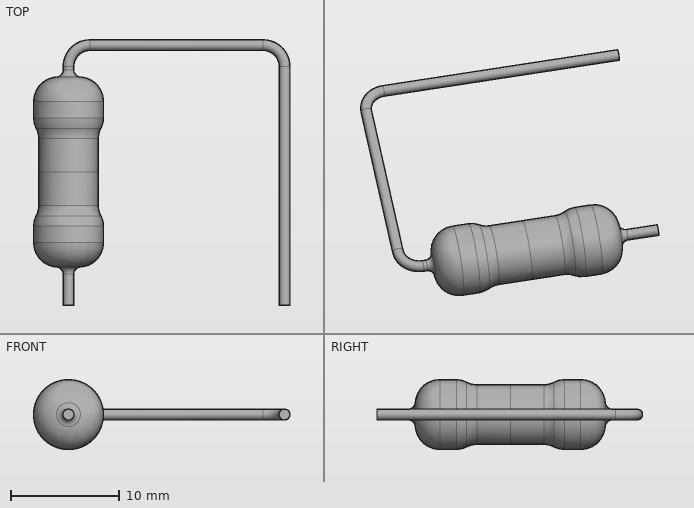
import cadquery as cq
import math

total_length = 24.6
lead_diameter = 1.0
lead_pitch = 20.0
bend_radius = 2.0

body_center = 12.35
cap_diameter = 6.5
neck_diameter = 5.54
cap_inner = 5.0
cap_outer = 6.52
dome_radius = 2.3
shoulder_radius = 2.0
lead_fillet = 0.65

lead_radius = lead_diameter / 2
cap_radius = cap_diameter / 2
neck_radius = neck_diameter / 2

shoulder_drop = (cap_radius - neck_radius) / 2
shoulder_run = math.sqrt(2 * shoulder_radius * shoulder_drop - shoulder_drop**2)
shoulder_mid = (cap_radius - shoulder_drop, cap_inner - shoulder_run)
neck_end = (neck_radius, cap_inner - 2 * shoulder_run)

dome_center_x = cap_radius - dome_radius
blend_center_x = lead_radius + lead_fillet
center_distance = dome_radius + lead_fillet
center_dx = blend_center_x - dome_center_x
center_dy = math.sqrt(center_distance**2 - center_dx**2)
blend_end_y = cap_outer + center_dy
dome_end = (
    dome_center_x + dome_radius * center_dx / center_distance,
    cap_outer + dome_radius * center_dy / center_distance,
)


def make_body():
    """Revolve one half of the body about Y and mirror it."""
    half = (
        cq.Workplane("XY")
        .lineTo(neck_radius, 0)
        .lineTo(*neck_end)
        .tangentArcPoint(shoulder_mid, relative=False)
        .tangentArcPoint((cap_radius, cap_inner), relative=False)
        .lineTo(cap_radius, cap_outer)
        .tangentArcPoint(dome_end, relative=False)
        .tangentArcPoint((lead_radius, blend_end_y), relative=False)
        .lineTo(0, blend_end_y)
        .close()
        .revolve(360, (0, 0, 0), (0, 1, 0))
    )
    return half.union(half.mirror("XZ")).translate((0, body_center, 0))


def make_lead():
    """Sweep the wire through the body, across, and back down to y = 0."""
    cross_y = total_length - lead_radius
    bend_y = cross_y - bend_radius
    path = (
        cq.Workplane("XY")
        .lineTo(0, bend_y)
        .tangentArcPoint((bend_radius, cross_y), relative=False)
        .lineTo(lead_pitch - bend_radius, cross_y)
        .tangentArcPoint((lead_pitch, bend_y), relative=False)
        .lineTo(lead_pitch, 0)
    )
    return cq.Workplane("XZ").circle(lead_radius).sweep(path)


result = make_body().union(make_lead())